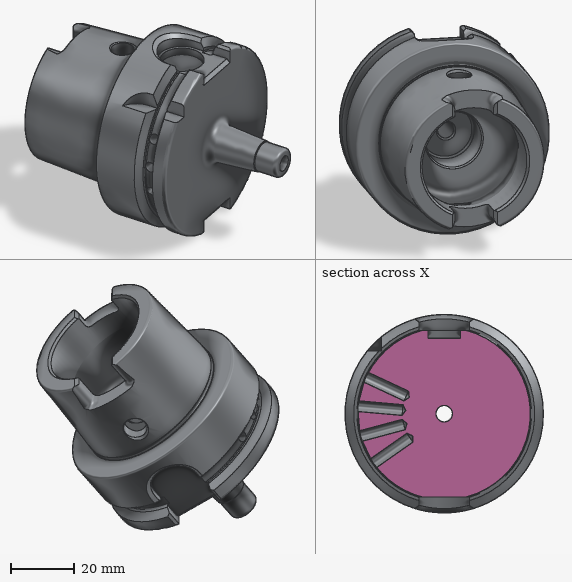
import cadquery as cq
import math

TOTAL_LENGTH = 83.0

SELECT_MARGIN = 0.1

SHANK_LENGTH = 32.0
TAPER_END_X = 30.0
TAPER_BIG_RADIUS = 24.1
TAPER_SLOPE = 1 / 20
SHANK_ROUND = 1.0
TAPER_FOOT_X = 30.6
RELIEF_DEPTH = 0.2
RELIEF_SLOPE_LENGTH = 0.25
RELIEF_FILLET = 0.75
FACE_RELIEF_DEPTH = 0.2
FACE_RELIEF_RADIUS = 25.4

FLANGE_RADIUS = 31.5
FLANGE_END_X = 58.0
FLANGE_BACK_ROUND = 1.0
FLANGE_FRONT_ROUND = 1.2
GROOVE_X = 49.9
GROOVE_WIDTH = 3.6
GROOVE_FLOOR_RADIUS = 27.4
GROOVE_FLOOR_ROUND = 0.3
GROOVE_FLANK_RADIUS = 28.7
GROOVE_MOUTH_WIDTH = 6.7

STUB_BASE_RADIUS = 6.4
STUB_TIP_RADIUS = 5.15
STUB_CONE_END_X = 74.9
STUB_STEP = 0.25
STUB_ROOT_FILLET = 3.0
STUB_END_ROUND = 1.25

BORE_RADIUS = 17.0
BORE_CHAMFER = 0.75
BORE_LIP_X = 12.8
BORE_FLARE_ANGLE = math.radians(12)
BORE_WALL_END_X = 25.7
BORE_FLOOR_FLAT_RADIUS = 15.7
RECESS_RADIUS = 9.05
RECESS_DEPTH = 11.6
RECESS_MOUTH_CHAMFER = 0.5
RECESS_FLOOR_CHAMFER = 0.7
COOLANT_RADIUS = 2.6
COOLANT_CHAMFER = 0.6

KEY_HALF_WIDTH = 6.3
KEY_DEPTH_TOP = 6.0
KEY_DEPTH_BOTTOM = 10.0
KEY_FLOOR_FILLET = 1.6
KEY_MOUTH_CHAMFER = 1.1
KEY_CORNER_RADIUS = 2.8
KEY_RUNOUT = 2.5

CROSS_HOLE_X = 22.9
CROSS_HOLE_RADIUS = 3.7
CROSS_HOLE_CHAMFER = 0.6

SLOT_HALF_WIDTH = 8.0
SLOT_END_X = 45.1
SLOT_FLOOR_Z = 26.5
SLOT_BACK_CHAMFER = 1.4
SLOT_FRONT_CHAMFER = 1.0
SLOT_FLOOR_BEVEL = 1.2
POCKET_RADIUS = 7.0
POCKET_DEPTH = 2.5

NOTCH_OFFSET = 19.9

BALANCE_ANGLES = (25, 5, -15, -35)
BALANCE_RADIUS = 1.7
BALANCE_DEPTH = 14.1
BALANCE_TIP_ANGLE = math.radians(118)


def taper_radius(x):
    return TAPER_BIG_RADIUS - (TAPER_END_X - x) * TAPER_SLOPE


def revolve_about_x(profile):
    return profile.close().revolve(360, (0, 0, 0), (1, 0, 0))


def turn_about_x(body, angle):
    return body.rotate((0, 0, 0), (1, 0, 0), angle)


def make_shank():
    profile = (
        cq.Workplane("XY")
        .lineTo(0, taper_radius(0))
        .lineTo(TAPER_END_X, TAPER_BIG_RADIUS)
        .lineTo(SHANK_LENGTH, TAPER_BIG_RADIUS)
        .lineTo(SHANK_LENGTH, 0)
    )
    return revolve_about_x(profile).faces("<X").edges().fillet(SHANK_ROUND)


def make_relief_cutter():
    """Undercut at the foot of the taper, sunk into the shank and into the flange face."""
    neck_radius = TAPER_BIG_RADIUS - RELIEF_DEPTH
    deep_x = SHANK_LENGTH + FACE_RELIEF_DEPTH
    arc_drop = RELIEF_FILLET * (1 - math.sqrt(0.5))
    profile = (
        cq.Workplane("XY")
        .moveTo(TAPER_FOOT_X, TAPER_BIG_RADIUS)
        .lineTo(TAPER_FOOT_X + RELIEF_SLOPE_LENGTH, neck_radius)
        .lineTo(deep_x - RELIEF_FILLET, neck_radius)
        .threePointArc(
            (deep_x - arc_drop, neck_radius + arc_drop),
            (deep_x, neck_radius + RELIEF_FILLET),
        )
        .lineTo(SHANK_LENGTH, FACE_RELIEF_RADIUS)
        .lineTo(TAPER_FOOT_X, FACE_RELIEF_RADIUS)
    )
    return revolve_about_x(profile)


def make_land(start_x, end_x, slot_chamfer):
    """Disk with a round-ended slot on its +Z and -Z sides, the slot rims chamfered."""
    land = cq.Workplane("YZ", origin=(start_x, 0, 0)).circle(FLANGE_RADIUS).extrude(end_x - start_x)
    slot = make_round_ended_cutter(0, SLOT_FLOOR_Z)
    for turn in (0, 180):
        land = land.cut(turn_about_x(slot, turn))
    rim_height = math.sqrt(FLANGE_RADIUS**2 - SLOT_HALF_WIDTH**2)
    low_z = rim_height - SELECT_MARGIN
    half_width = SLOT_HALF_WIDTH + SELECT_MARGIN
    for side in (1, -1):
        near_corner = (start_x + SELECT_MARGIN, -half_width, side * low_z)
        far_corner = (end_x - SELECT_MARGIN, half_width, side * FLANGE_RADIUS)
        rim = cq.selectors.BoxSelector(near_corner, far_corner)
        land = land.edges(rim).chamfer(slot_chamfer)
    return land


def make_flange():
    back = make_land(SHANK_LENGTH, GROOVE_X, SLOT_BACK_CHAMFER)
    back = back.faces("<X").edges().fillet(FLANGE_BACK_ROUND)
    front = make_land(GROOVE_X, FLANGE_END_X, SLOT_FRONT_CHAMFER)
    front = front.faces(">X").edges("%CIRCLE").fillet(FLANGE_FRONT_ROUND)
    bevel = make_floor_bevel_cutter()
    for turn in (0, 180):
        front = front.cut(turn_about_x(bevel, turn))
    return back.union(front).cut(make_groove_cutter())


def make_groove_cutter():
    half_floor = GROOVE_WIDTH / 2
    beyond = 2 * FLANGE_RADIUS - GROOVE_FLANK_RADIUS
    half_beyond = GROOVE_MOUTH_WIDTH - half_floor
    profile = (
        cq.Workplane("XY", origin=(GROOVE_X, 0, 0))
        .moveTo(-half_floor, GROOVE_FLOOR_RADIUS)
        .lineTo(half_floor, GROOVE_FLOOR_RADIUS)
        .lineTo(half_floor, GROOVE_FLANK_RADIUS)
        .lineTo(half_beyond, beyond)
        .lineTo(-half_beyond, beyond)
        .lineTo(-half_floor, GROOVE_FLANK_RADIUS)
    )
    ring = revolve_about_x(profile)
    floor = cq.selectors.RadiusNthSelector(0)
    return ring.edges("%CIRCLE").edges(floor).fillet(GROOVE_FLOOR_ROUND)


def make_stub():
    """Conical stub with a core that reaches back through the flange."""
    core_radius = 2 * STUB_BASE_RADIUS
    tip_radius = STUB_TIP_RADIUS - STUB_STEP
    profile = (
        cq.Workplane("XY")
        .moveTo(SHANK_LENGTH, 0)
        .lineTo(SHANK_LENGTH, core_radius)
        .lineTo(FLANGE_END_X, core_radius)
        .lineTo(FLANGE_END_X, STUB_BASE_RADIUS)
        .lineTo(STUB_CONE_END_X, STUB_TIP_RADIUS)
        .lineTo(STUB_CONE_END_X + STUB_STEP, tip_radius)
        .lineTo(TOTAL_LENGTH, tip_radius)
        .lineTo(TOTAL_LENGTH, 0)
    )
    stub = revolve_about_x(profile)
    margin = STUB_BASE_RADIUS + SELECT_MARGIN
    root = cq.selectors.BoxSelector(
        (FLANGE_END_X - SELECT_MARGIN, -margin, -margin),
        (FLANGE_END_X + SELECT_MARGIN, margin, margin),
        boundingbox=True,
    )
    stub = stub.edges(root).fillet(STUB_ROOT_FILLET)
    return stub.faces(">X").edges().fillet(STUB_END_ROUND)


def make_bore_cutter():
    """Flared bore with a rounded floor, a recess in the floor and a through hole for coolant."""
    wall_end_radius = BORE_RADIUS + (BORE_WALL_END_X - BORE_LIP_X) * math.tan(BORE_FLARE_ANGLE)
    fillet_radius = (wall_end_radius - BORE_FLOOR_FLAT_RADIUS) / math.cos(BORE_FLARE_ANGLE)
    floor_x = BORE_WALL_END_X + fillet_radius * (1 + math.sin(BORE_FLARE_ANGLE))
    recess_end_x = floor_x + RECESS_DEPTH
    profile = (
        cq.Workplane("XY")
        .lineTo(0, BORE_RADIUS + BORE_CHAMFER)
        .lineTo(BORE_CHAMFER, BORE_RADIUS)
        .lineTo(BORE_LIP_X, BORE_RADIUS)
        .lineTo(BORE_WALL_END_X, wall_end_radius)
        .tangentArcPoint((floor_x, BORE_FLOOR_FLAT_RADIUS), relative=False)
        .lineTo(floor_x, RECESS_RADIUS + RECESS_MOUTH_CHAMFER)
        .lineTo(floor_x + RECESS_MOUTH_CHAMFER, RECESS_RADIUS)
        .lineTo(recess_end_x - RECESS_FLOOR_CHAMFER, RECESS_RADIUS)
        .lineTo(recess_end_x, RECESS_RADIUS - RECESS_FLOOR_CHAMFER)
        .lineTo(recess_end_x, COOLANT_RADIUS + COOLANT_CHAMFER)
        .lineTo(recess_end_x + COOLANT_CHAMFER, COOLANT_RADIUS)
        .lineTo(TOTAL_LENGTH, COOLANT_RADIUS)
        .lineTo(TOTAL_LENGTH, 0)
    )
    return revolve_about_x(profile)


def make_key_cutter(depth):
    """Drive slot on the +Z side, flared where its walls run out into the taper."""
    skin = taper_radius(depth)
    center_y = KEY_HALF_WIDTH + KEY_CORNER_RADIUS
    center_z = math.sqrt((skin - KEY_CORNER_RADIUS) ** 2 - center_y**2)
    tangent_angle = math.atan2(center_z, center_y)
    mid_angle = (math.pi + tangent_angle) / 2

    def corner_point(angle):
        return (
            center_y + KEY_CORNER_RADIUS * math.cos(angle),
            center_z + KEY_CORNER_RADIUS * math.sin(angle),
        )

    def mirrored(point):
        return (-point[0], point[1])

    mid = corner_point(mid_angle)
    tangent = corner_point(tangent_angle)
    outside = (
        tangent[0] + KEY_RUNOUT * math.sin(tangent_angle),
        tangent[1] - KEY_RUNOUT * math.cos(tangent_angle),
    )
    crown = (outside[0], skin + KEY_RUNOUT)
    slot = (
        cq.Workplane("YZ")
        .moveTo(-KEY_HALF_WIDTH, 0)
        .lineTo(KEY_HALF_WIDTH, 0)
        .lineTo(KEY_HALF_WIDTH, center_z)
        .threePointArc(mid, tangent)
        .lineTo(*outside)
        .lineTo(*crown)
        .lineTo(*mirrored(crown))
        .lineTo(*mirrored(outside))
        .lineTo(*mirrored(tangent))
        .threePointArc(mirrored(mid), (-KEY_HALF_WIDTH, center_z))
        .close()
        .extrude(depth)
    )
    side_limit = outside[0] - SELECT_MARGIN
    floor_edges = cq.selectors.BoxSelector(
        (depth - SELECT_MARGIN, -side_limit, SELECT_MARGIN),
        (depth + SELECT_MARGIN, side_limit, skin),
    )
    slot = slot.edges(floor_edges).fillet(KEY_FLOOR_FILLET)
    mouth_half = KEY_HALF_WIDTH + KEY_MOUTH_CHAMFER
    mouth = (
        cq.Workplane("XY")
        .moveTo(0, -mouth_half)
        .lineTo(KEY_MOUTH_CHAMFER, -KEY_HALF_WIDTH)
        .lineTo(KEY_MOUTH_CHAMFER, KEY_HALF_WIDTH)
        .lineTo(0, mouth_half)
        .close()
        .extrude(skin)
    )
    return slot.union(mouth)


def make_cross_hole_cutter():
    """Radial hole on the +Z side with a countersunk mouth."""
    mouth_z = taper_radius(CROSS_HOLE_X)
    profile = (
        cq.Workplane("XZ", origin=(CROSS_HOLE_X, 0, 0))
        .lineTo(CROSS_HOLE_RADIUS, 0)
        .lineTo(CROSS_HOLE_RADIUS, mouth_z - CROSS_HOLE_CHAMFER)
        .lineTo(CROSS_HOLE_RADIUS + 2 * CROSS_HOLE_CHAMFER, mouth_z + CROSS_HOLE_CHAMFER)
        .lineTo(0, mouth_z + CROSS_HOLE_CHAMFER)
    )
    return profile.close().revolve(360, (0, 0, 0), (0, 1, 0))


def make_round_ended_cutter(center_y, floor_z):
    """Prism over a round-ended slot that runs out through the front face of the flange."""
    length = FLANGE_END_X - SLOT_END_X
    base = cq.Workplane("XY", origin=(SLOT_END_X, center_y, floor_z))
    end = base.circle(SLOT_HALF_WIDTH).extrude(FLANGE_RADIUS)
    run = base.center(length / 2, 0).rect(length, 2 * SLOT_HALF_WIDTH).extrude(FLANGE_RADIUS)
    return end.union(run)


def make_floor_bevel_cutter():
    """Triangular prism that bevels the floor of the +Z slot at the front face of the flange."""
    return (
        cq.Workplane("XZ", origin=(FLANGE_END_X, 0, SLOT_FLOOR_Z))
        .moveTo(-SLOT_FLOOR_BEVEL, 0)
        .lineTo(0, -SLOT_FLOOR_BEVEL)
        .lineTo(0, 0)
        .close()
        .extrude(SLOT_HALF_WIDTH, both=True)
    )


def make_pocket_cutter():
    return (
        cq.Workplane("XY", origin=(SLOT_END_X, 0, SLOT_FLOOR_Z - POCKET_DEPTH))
        .circle(POCKET_RADIUS)
        .extrude(FLANGE_RADIUS)
    )


def make_balance_hole_cutter(angle):
    """Radial blind hole with a drill tip, turned up from -Y by the angle in degrees."""
    bottom = GROOVE_FLOOR_RADIUS - BALANCE_DEPTH
    tip = bottom - BALANCE_RADIUS / math.tan(BALANCE_TIP_ANGLE / 2)
    profile = (
        cq.Workplane("XY", origin=(GROOVE_X, 0, 0))
        .moveTo(0, -tip)
        .lineTo(BALANCE_RADIUS, -bottom)
        .lineTo(BALANCE_RADIUS, -FLANGE_RADIUS)
        .lineTo(0, -FLANGE_RADIUS)
    )
    hole = profile.close().revolve(360, (0, 0, 0), (0, 1, 0))
    return turn_about_x(hole, -angle)


flange = make_flange().cut(make_pocket_cutter())
notch_center_y = -NOTCH_OFFSET - SLOT_HALF_WIDTH
flange = flange.cut(make_round_ended_cutter(notch_center_y, NOTCH_OFFSET))

result = make_shank().union(flange).union(make_stub())
result = result.cut(make_bore_cutter()).cut(make_relief_cutter())
for balance_angle in BALANCE_ANGLES:
    result = result.cut(make_balance_hole_cutter(balance_angle))
bottom_key = make_key_cutter(KEY_DEPTH_BOTTOM)
cross_hole = make_cross_hole_cutter()
result = result.cut(make_key_cutter(KEY_DEPTH_TOP))
result = result.cut(turn_about_x(bottom_key, 180))
result = result.cut(cross_hole).cut(turn_about_x(cross_hole, 180))